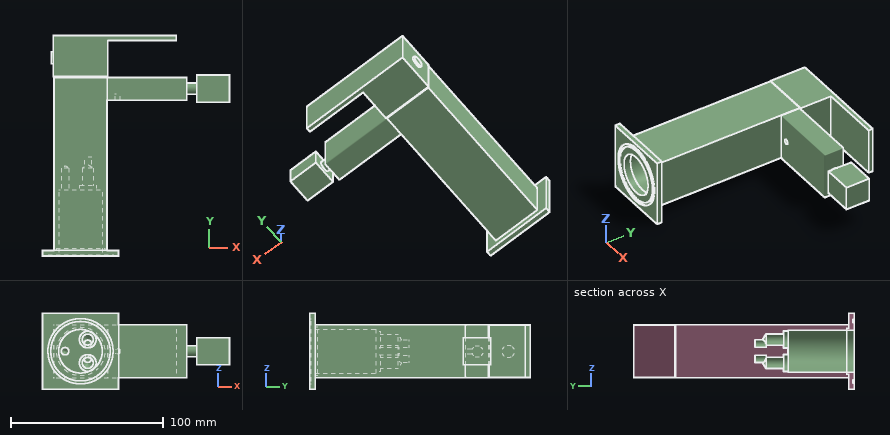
import cadquery as cq

TOTAL_HEIGHT = 144.8

PLATE_SIDE = 50.0
PLATE_THICKNESS = 3.8
COLLAR_RADIUS = 15.9
COLLAR_HEIGHT = 1.3
COLLAR_TOP = PLATE_THICKNESS + COLLAR_HEIGHT
SUPPLY_BORE_RADIUS = 14.3
SEAL_GROOVE_OUTER_RADIUS = 21.4
SEAL_GROOVE_INNER_RADIUS = 19.5
SEAL_GROOVE_DEPTH = 0.7

COLUMN_SIDE = 35.0
COLUMN_HALF = COLUMN_SIDE / 2
COLUMN_TOP = 117.2
SUPPLY_BORE_FLOOR = 43.4

INLET_X = 4.8
INLET_OFFSET_Z = 7.7
INLET_RADIUS = 3.6
INLET_DEPTH = 14.5
INLET_SEAT_RADIUS = 5.5
INLET_SEAT_DEPTH = 2.9
PORT_OFFSET_Z = 5.0
PORT_RADIUS = 2.3
PORT_DEPTH = 7.2
FIXING_HOLE_X = -10.1
FIXING_HOLE_RADIUS = 2.5
FIXING_HOLE_DEPTH = 14.5

DRILL_TIP_RATIO = 0.6

HANDLE_GAP = 0.5
HANDLE_BOTTOM = COLUMN_TOP + HANDLE_GAP
HANDLE_WIDTH = 36.0
HANDLE_DEPTH = 34.7
LEVER_THICKNESS = 3.3
LEVER_TIP_X = 63.0

BUTTON_RADIUS = 4.0
BUTTON_THICKNESS = 1.3
BUTTON_Y = 130.1

SPOUT_END_X = 69.9
SPOUT_THICKNESS = 15.0
SPOUT_WIDTH = COLUMN_SIDE
SPOUT_EDGE_RADIUS = 0.6
SCREW_HOLE_X = 24.2
SCREW_HOLE_RADIUS = 1.7
SCREW_HOLE_DEPTH = 4.3

OUTLET_END_X = 97.9
OUTLET_LENGTH = 21.5
OUTLET_SIDE = 18.0
OUTLET_START_X = OUTLET_END_X - OUTLET_LENGTH
OUTLET_Y = 109.9
STEM_RADIUS = 3.8


def box_between(x_range, y_range, depth):
    """Box with the given X and Y limits, centred on Z = 0."""
    width = x_range[1] - x_range[0]
    height = y_range[1] - y_range[0]
    centre = ((x_range[0] + x_range[1]) / 2, (y_range[0] + y_range[1]) / 2, 0)
    return cq.Workplane("XY").box(width, height, depth).translate(centre)


def cylinder_along_x(start, radius, length):
    return cq.Workplane(cq.Solid.makeCylinder(radius, length, cq.Vector(*start), cq.Vector(1, 0, 0)))


def cylinder_along_y(start, radius, length):
    return cq.Workplane(cq.Solid.makeCylinder(radius, length, cq.Vector(*start), cq.Vector(0, 1, 0)))


def drilled_hole_along_y(start, radius, depth):
    """Cylinder along +Y that ends in a cone, as a drill leaves it."""
    x, y, z = start
    tip_base = cq.Vector(x, y + depth, z)
    shank = cylinder_along_y(start, radius, depth)
    tip = cq.Solid.makeCone(radius, 0, DRILL_TIP_RATIO * radius, tip_base, cq.Vector(0, 1, 0))
    return shank.union(cq.Workplane(tip))


def make_base_plate():
    """Square plate with a seal groove below and a low collar that locates the column."""
    half = PLATE_SIDE / 2
    plate = box_between((-half, half), (0, PLATE_THICKNESS), PLATE_SIDE)
    collar = cylinder_along_y((0, PLATE_THICKNESS, 0), COLLAR_RADIUS, COLLAR_HEIGHT)
    bore = cylinder_along_y((0, 0, 0), SUPPLY_BORE_RADIUS, COLLAR_TOP)
    groove_rim = cylinder_along_y((0, 0, 0), SEAL_GROOVE_OUTER_RADIUS, SEAL_GROOVE_DEPTH)
    groove_core = cylinder_along_y((0, 0, 0), SEAL_GROOVE_INNER_RADIUS, SEAL_GROOVE_DEPTH)
    return plate.union(collar).cut(bore).cut(groove_rim.cut(groove_core))


def inlet_cutter(side):
    """Seat, inlet hole and inner port on one side (+1 or -1) of the column's middle plane."""
    inlet_z = side * INLET_OFFSET_Z
    port_z = side * PORT_OFFSET_Z
    inlet_end = SUPPLY_BORE_FLOOR + INLET_DEPTH
    seat = cylinder_along_y((INLET_X, SUPPLY_BORE_FLOOR, inlet_z), INLET_SEAT_RADIUS, INLET_SEAT_DEPTH)
    inlet = drilled_hole_along_y((INLET_X, SUPPLY_BORE_FLOOR, inlet_z), INLET_RADIUS, INLET_DEPTH)
    port = cylinder_along_y((INLET_X, inlet_end, port_z), PORT_RADIUS, PORT_DEPTH)
    return seat.union(inlet).union(port)


def make_column():
    column = box_between((-COLUMN_HALF, COLUMN_HALF), (PLATE_THICKNESS, COLUMN_TOP), COLUMN_SIDE)
    column = column.cut(cylinder_along_y((0, PLATE_THICKNESS, 0), COLLAR_RADIUS, COLLAR_HEIGHT))
    bore_depth = SUPPLY_BORE_FLOOR - COLLAR_TOP
    column = column.cut(cylinder_along_y((0, COLLAR_TOP, 0), SUPPLY_BORE_RADIUS, bore_depth))
    for side in (-1, 1):
        column = column.cut(inlet_cutter(side))
    fixing_hole = drilled_hole_along_y(
        (FIXING_HOLE_X, SUPPLY_BORE_FLOOR, 0), FIXING_HOLE_RADIUS, FIXING_HOLE_DEPTH
    )
    return column.cut(fixing_hole)


def make_handle():
    half = HANDLE_WIDTH / 2
    block = box_between((-half, half), (HANDLE_BOTTOM, TOTAL_HEIGHT), HANDLE_DEPTH)
    lever_bottom = TOTAL_HEIGHT - LEVER_THICKNESS
    lever = box_between((-half, LEVER_TIP_X), (lever_bottom, TOTAL_HEIGHT), HANDLE_DEPTH)
    return block.union(lever)


def make_button():
    start_x = -HANDLE_WIDTH / 2 - BUTTON_THICKNESS
    return cylinder_along_x((start_x, BUTTON_Y, 0), BUTTON_RADIUS, BUTTON_THICKNESS)


def make_spout():
    """Bar with rounded edges, flush with the column top, with a set-screw hole in its underside."""
    bottom = COLUMN_TOP - SPOUT_THICKNESS
    bar = box_between((COLUMN_HALF, SPOUT_END_X), (bottom, COLUMN_TOP), SPOUT_WIDTH)
    bar = bar.edges().fillet(SPOUT_EDGE_RADIUS)
    return bar.cut(cylinder_along_y((SCREW_HOLE_X, bottom, 0), SCREW_HOLE_RADIUS, SCREW_HOLE_DEPTH))


def make_stem():
    return cylinder_along_x((SPOUT_END_X, OUTLET_Y, 0), STEM_RADIUS, OUTLET_START_X - SPOUT_END_X)


def make_outlet_block():
    half = OUTLET_SIDE / 2
    return box_between((OUTLET_START_X, OUTLET_END_X), (OUTLET_Y - half, OUTLET_Y + half), OUTLET_SIDE)


base_plate = make_base_plate()
column = make_column()
handle = make_handle()
button = make_button()
spout = make_spout()
stem = make_stem()
outlet_block = make_outlet_block()

result = cq.Compound.makeCompound([
    base_plate.val(),
    column.val(),
    handle.val(),
    button.val(),
    spout.val(),
    stem.val(),
    outlet_block.val(),
])